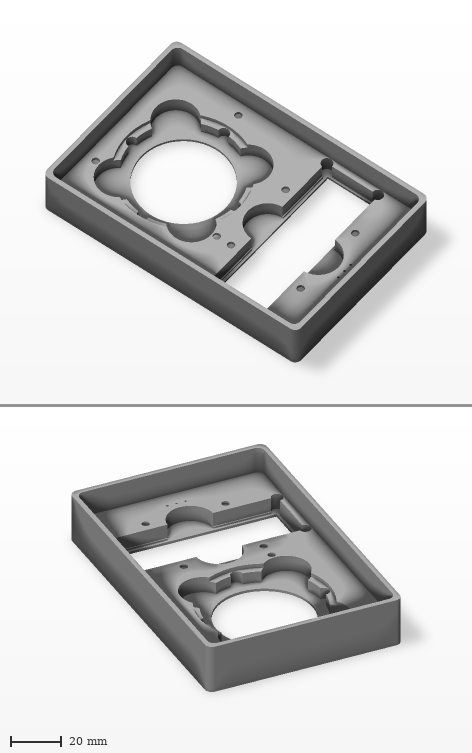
import cadquery as cq
import math

length = 127.5
width = 85.3
height = 21.0
wall = 2.2
corner_radius = 3.0

deck_level = 9.5
seat_level = 2.5
underside_recess_depth = 1.4

dish_x = -26.3
dish_radius = 25.8
dish_rim_radius = 28.4
dish_rim_depth = 1.9
dish_opening_radius = 21.0
finger_radius = 10.0
relief_radius = 2.5

slot_x = 28.7
slot_length = 75.7
slot_width = 25.5
slot_entry_width = 26.4
slot_step_height = 0.8
opening_length = 74.0
opening_width = 23.2

dish_hole_count = 3
blind_hole_radius = 1.7
blind_hole_depth = 1.3
dish_hole_circle_radius = 35.0
slot_hole_spacing = 34.9

pin_hole_count = 3
pin_hole_radius = 0.5
pin_hole_spacing = 4.0
pin_hole_x = 54.5


def box_between(x, x_size, y_size, bottom, top):
    plane = cq.Workplane("XY").workplane(offset=bottom)
    return plane.center(x, 0).rect(x_size, y_size).extrude(top - bottom)


def rounded_block(x_size, y_size, bottom, top):
    return box_between(0, x_size, y_size, bottom, top).edges("|Z").fillet(corner_radius)


def cylinders(points, radius, bottom, top):
    plane = cq.Workplane("XY").workplane(offset=bottom)
    return plane.pushPoints(points).circle(radius).extrude(top - bottom)


def around_dish(radius, count, start_angle):
    angles = [math.radians(start_angle + 360 * i / count) for i in range(count)]
    return [(dish_x + radius * math.cos(a), radius * math.sin(a)) for a in angles]


def around_slot(x_spacing, y_spacing):
    return [(slot_x + i * x_spacing / 2, j * y_spacing / 2) for i in (-1, 1) for j in (-1, 1)]


def shell():
    """Rounded rim with a deck inside it, recessed from above and from below."""
    inner_length = length - 2 * wall
    inner_width = width - 2 * wall
    body = rounded_block(length, width, 0, height)
    body = body.cut(rounded_block(inner_length, inner_width, deck_level, height))
    return body.cut(rounded_block(inner_length, inner_width, 0, underside_recess_depth))


def dish_seat():
    """Volume removed for the dish: seat, stepped rim, scoops, reliefs and opening."""
    center = [(dish_x, 0)]
    scoops = around_dish(dish_radius, 4, 45)
    reliefs = around_dish(dish_radius, 4, 0)
    seat = cylinders(center, dish_radius, seat_level, deck_level)
    seat = seat.union(cylinders(center, dish_rim_radius, deck_level - dish_rim_depth, deck_level))
    seat = seat.union(cylinders(scoops, finger_radius, seat_level, deck_level))
    seat = seat.union(cylinders(reliefs, relief_radius, seat_level, deck_level))
    return seat.union(cylinders(center, dish_opening_radius, 0, deck_level))


def slide_slot():
    """Volume removed for the slide: seat, entry, corner reliefs, scoops and opening."""
    entry_level = seat_level + slot_step_height
    corners = around_slot(slot_width, slot_length)
    scoops = [(slot_x + side * slot_width / 2, 0) for side in (-1, 1)]
    slot = box_between(slot_x, slot_width, slot_length, seat_level, deck_level)
    slot = slot.union(box_between(slot_x, slot_entry_width, slot_length, entry_level, deck_level))
    slot = slot.union(cylinders(corners, relief_radius, seat_level, deck_level))
    slot = slot.union(cylinders(scoops, finger_radius, seat_level, deck_level))
    return slot.union(box_between(slot_x, opening_width, opening_length, 0, deck_level))


def blind_holes():
    centers = around_dish(dish_hole_circle_radius, dish_hole_count, 90)
    centers += around_slot(slot_hole_spacing, slot_hole_spacing)
    return cylinders(centers, blind_hole_radius, deck_level - blind_hole_depth, deck_level)


def pin_holes():
    first_y = -pin_hole_spacing * (pin_hole_count - 1) / 2
    centers = [(pin_hole_x, first_y + i * pin_hole_spacing) for i in range(pin_hole_count)]
    return cylinders(centers, pin_hole_radius, 0, deck_level)


result = shell().cut(dish_seat()).cut(slide_slot()).cut(blind_holes()).cut(pin_holes())